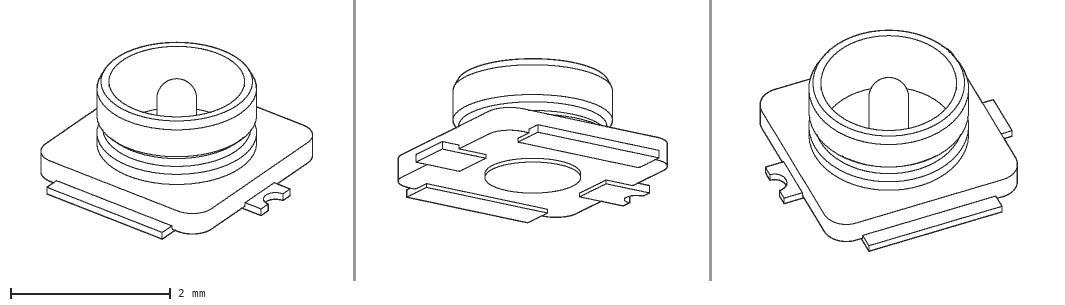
import cadquery as cq

length_x = 3.1
length_y = 3.0
height = 1.25

base_side = 2.6
base_corner_radius = 0.3
standoff = 0.05
base_top = 0.35

contact_thickness = 0.1
ground_pad_length = 1.81
ground_pad_width = 0.455
signal_tab_width = 0.605
signal_tab_length = 0.65
notch_radius = 0.152
contact_disc_diameter = 1.2

barrel_radius = 2.0 / 2
groove_radius = 1.855 / 2
bore_radius = 1.7 / 2
rim_radius = 0.95
lower_collar_top = 0.5
groove_bottom = 0.57
groove_top = 0.685
upper_collar_bottom = 0.755
rim_chamfer_height = 0.1

pin_radius = 0.5 / 2


def make_base():
    return (
        cq.Workplane("XY")
        .workplane(offset=standoff)
        .rect(base_side, base_side)
        .extrude(base_top - standoff)
        .edges("|Z")
        .fillet(base_corner_radius)
    )


def make_barrel():
    """Hollow barrel revolved about Z; the bore floor is the top of the base."""
    profile = [
        (bore_radius, base_top),
        (barrel_radius, base_top),
        (barrel_radius, lower_collar_top),
        (groove_radius, groove_bottom),
        (groove_radius, groove_top),
        (barrel_radius, upper_collar_bottom),
        (barrel_radius, height - rim_chamfer_height),
        (rim_radius, height),
        (bore_radius, height),
    ]
    return cq.Workplane("XZ").polyline(profile).close().revolve(360, (0, 0), (0, 1))


def make_pin():
    """Center pin with a hemispherical tip level with the rim."""
    shoulder = height - pin_radius
    shank = cq.Workplane("XY").workplane(offset=base_top).circle(pin_radius).extrude(shoulder - base_top)
    tip = cq.Workplane("XY").sphere(pin_radius).translate((0, 0, shoulder))
    return shank.union(tip)


def make_contact(size_x, size_y, center_x, center_y):
    """Flat contact resting on the Z = 0 plane."""
    return cq.Workplane("XY").center(center_x, center_y).rect(size_x, size_y).extrude(contact_thickness)


result = make_base().union(make_barrel()).union(make_pin())

pad_center_y = (length_y - ground_pad_width) / 2
tab_center_x = (length_x - signal_tab_length) / 2
for side in (-1, 1):
    result = result.union(make_contact(ground_pad_length, ground_pad_width, 0, side * pad_center_y))
    result = result.union(make_contact(signal_tab_length, signal_tab_width, side * tab_center_x, 0))

result = result.union(cq.Workplane("XY").circle(contact_disc_diameter / 2).extrude(contact_thickness))

notch = cq.Workplane("XY").center(length_x / 2, 0).circle(notch_radius).extrude(contact_thickness)
result = result.cut(notch)